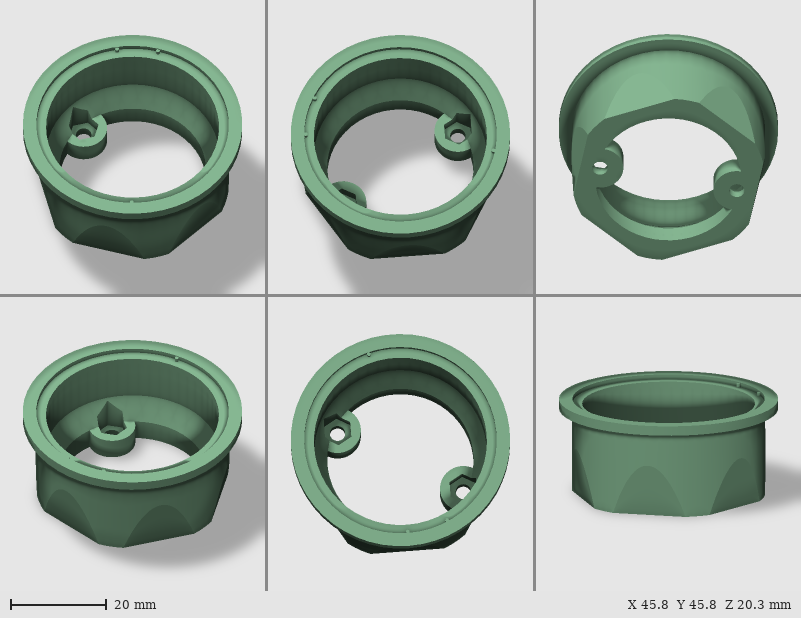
import cadquery as cq
import math

TOTAL_HEIGHT = 20.32
FLANGE_DIAMETER = 45.8
FLANGE_THICKNESS = 2.02
BODY_DIAMETER = 40.4

SEAT_DIAMETER = 40.2
SEAT_DEPTH = 1.02
BORE_DIAMETER = 36.1
BORE_DEPTH = 10.0
THROAT_DIAMETER = 30.55
THROAT_HEIGHT = 4.5

FLAT_COUNT = 6
FLAT_BOTTOM_APOTHEM = 18.65
FLAT_HEIGHT = 11.0
SHORT_FLAT_HEIGHT = 8.7
SHORT_FLAT_ANGLE = 240

BOSS_SPACING = 29.1
BOSS_DIAMETER = 9.75
SCREW_HOLE_DIAMETER = 3.2
NUT_SIDES = 6
NUT_ACROSS_FLATS = 5.54
NUT_FLOOR_HEIGHT = 2.0

PIN_DIAMETER = 0.8
PIN_HEIGHT = 0.8
PIN_CIRCLE_RADIUS = 19.75
PIN_ANGLES = (120, 145, 315)

SEAT_LEVEL = TOTAL_HEIGHT - SEAT_DEPTH
CONE_TOP_LEVEL = SEAT_LEVEL - BORE_DEPTH
BODY_RADIUS = BODY_DIAMETER / 2
BOSS_CENTERS = [(-BOSS_SPACING / 2, 0), (BOSS_SPACING / 2, 0)]


def outer_form():
    flange_level = TOTAL_HEIGHT - FLANGE_THICKNESS
    body = cq.Workplane("XY").circle(BODY_RADIUS).extrude(flange_level)
    flange = cq.Workplane("XY", origin=(0, 0, flange_level))
    flange = flange.circle(FLANGE_DIAMETER / 2).extrude(FLANGE_THICKNESS)
    return body.union(flange)


def flat_cutter(angle, height):
    """Wedge outside one grip flat, which leans out to the body wall at the given height."""
    profile = [
        (FLAT_BOTTOM_APOTHEM, 0),
        (BODY_RADIUS, height),
        (BODY_RADIUS, 0),
    ]
    wedge = cq.Workplane("XZ").polyline(profile).close().extrude(BODY_RADIUS, both=True)
    return wedge.rotate((0, 0, 0), (0, 0, 1), angle)


def opening():
    """Stepped and tapered hole through the whole part."""
    seat_radius = SEAT_DIAMETER / 2
    bore_radius = BORE_DIAMETER / 2
    throat_radius = THROAT_DIAMETER / 2
    profile = [
        (0, 0),
        (throat_radius, 0),
        (throat_radius, THROAT_HEIGHT),
        (bore_radius, CONE_TOP_LEVEL),
        (bore_radius, SEAT_LEVEL),
        (seat_radius, SEAT_LEVEL),
        (seat_radius, TOTAL_HEIGHT),
        (0, TOTAL_HEIGHT),
    ]
    return cq.Workplane("XZ").polyline(profile).close().revolve(360, (0, 0), (0, 1))


def bosses():
    boss_pair = cq.Workplane("XY").pushPoints(BOSS_CENTERS)
    return boss_pair.circle(BOSS_DIAMETER / 2).extrude(THROAT_HEIGHT)


def screw_holes():
    holes = cq.Workplane("XY").pushPoints(BOSS_CENTERS)
    return holes.circle(SCREW_HOLE_DIAMETER / 2).extrude(THROAT_HEIGHT)


def nut_pockets():
    """Hexagonal pockets, corners along X, open upwards through the taper."""
    across_corners = NUT_ACROSS_FLATS / math.cos(math.pi / NUT_SIDES)
    pockets = cq.Workplane("XY", origin=(0, 0, NUT_FLOOR_HEIGHT)).pushPoints(BOSS_CENTERS)
    return pockets.polygon(NUT_SIDES, across_corners).extrude(CONE_TOP_LEVEL - NUT_FLOOR_HEIGHT)


def locating_pin(angle):
    x = PIN_CIRCLE_RADIUS * math.cos(math.radians(angle))
    y = PIN_CIRCLE_RADIUS * math.sin(math.radians(angle))
    return cq.Workplane("XY", origin=(x, y, SEAT_LEVEL)).circle(PIN_DIAMETER / 2).extrude(PIN_HEIGHT)


result = outer_form().cut(opening()).union(bosses())
for index in range(FLAT_COUNT):
    flat_angle = index * 360 / FLAT_COUNT
    flat_height = SHORT_FLAT_HEIGHT if flat_angle == SHORT_FLAT_ANGLE else FLAT_HEIGHT
    result = result.cut(flat_cutter(flat_angle, flat_height))
result = result.cut(screw_holes()).cut(nut_pockets())
for pin_angle in PIN_ANGLES:
    result = result.union(locating_pin(pin_angle))